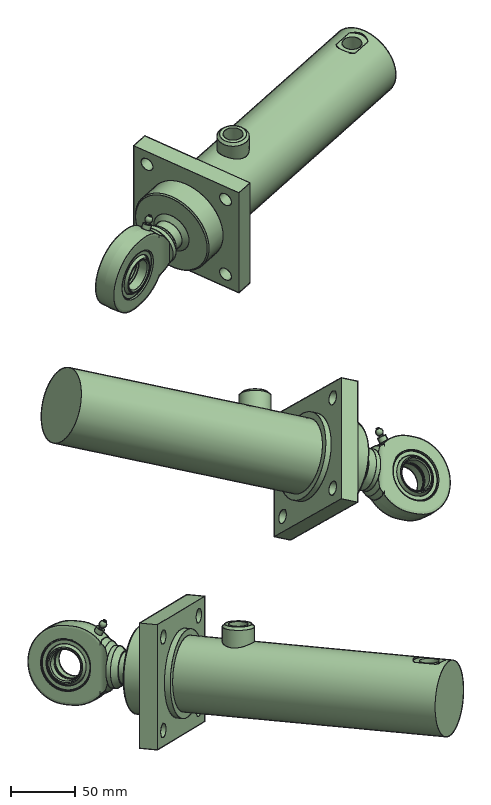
import cadquery as cq
import math


total_length = 349.0
eye_radius = 32.0
rear_end = total_length - eye_radius

barrel_diameter = 60.0
gland_diameter = 70.0
gland_front = 58.0
gland_rear = 97.7
gland_chamfer = 1.0
flange_side = 100.0
flange_front = 78.0
flange_thickness = 15.0
bolt_hole_diameter = 11.0
bolt_hole_spacing = 74.7
wiper_diameter = 33.5
wiper_length = 3.5

port_diameter = 15.5
port_depth = 14.0
drill_point_angle = 118.0
boss_diameter = 25.0
boss_top = 43.5
boss_chamfer = 2.0
boss_port_y = 140.5
spot_face_diameter = 25.0
spot_face_depth = 1.5
rear_port_inset = 16.8
rear_port_y = rear_end - rear_port_inset

rod_diameter = 25.0

eye_width = 18.0
eye_flat_length = 5.2
eye_draft = 3.0
eye_chamfer_across = 1.7
eye_chamfer_radial = 0.5

shank_end = 45.5
shank_end_diameter = 27.0
collar_diameter = 33.5
collar_rear = 40.5
collar_front = 36.5
neck_front = 28.5
neck_front_radius = 22.5
neck_cone_length = 3.0
flare_half_width = 13.3
flare_fillet = 7.7

race_diameter = 42.0
race_width = 16.0
race_inner_diameter = 33.5
race_chamfer = 1.0
ball_diameter = 35.5
ball_width = 20.2
eye_bore_diameter = 25.0
bore_chamfer = 1.0
bore_groove_width = 2.0
bore_groove_depth = 0.7

nipple_tilt = 30.0
nipple_y = 27.5
nipple_z = 33.0
nipple_root_depth = 12.2
nipple_base_diameter = 7.0
nipple_base_top = -4.0
nipple_neck_diameter = 3.0
nipple_head_diameter = 6.0
nipple_tip_diameter = 2.6
nipple_tip_top = 3.5


def cylinder_along_y(diameter, y_start, y_end):
    """Round bar on the cylinder axis between two Y positions."""
    return cq.Workplane("XZ", origin=(0, y_start, 0)).circle(diameter / 2).extrude(y_start - y_end)


def revolved_about_y(points):
    """Turned shape from a closed outline of (radius, Y) points."""
    return cq.Workplane("XY").polyline(points).close().revolve(360, (0, 0, 0), (0, 1, 0))


def port_hole(y, top_z):
    """Blind oil port drilled down from top_z, with a conical drill point."""
    radius = port_diameter / 2
    bottom = top_z - port_depth
    point_length = radius / math.tan(math.radians(drill_point_angle / 2))
    outline = [(0, top_z), (radius, top_z), (radius, bottom), (0, bottom - point_length)]
    return (
        cq.Workplane("XZ")
        .polyline(outline)
        .close()
        .revolve(360, (0, 0, 0), (0, 1, 0))
        .translate((0, y, 0))
    )


def make_housing():
    """Barrel with gland, square flange, wiper lip and two oil ports."""
    barrel = cylinder_along_y(barrel_diameter, gland_rear, rear_end)
    gland = cylinder_along_y(gland_diameter, gland_front, gland_rear).faces("<Y").chamfer(gland_chamfer)
    flange = (
        cq.Workplane("XZ", origin=(0, flange_front, 0))
        .rect(flange_side, flange_side)
        .rect(bolt_hole_spacing, bolt_hole_spacing, forConstruction=True)
        .vertices()
        .circle(bolt_hole_diameter / 2)
        .extrude(-flange_thickness)
    )
    wiper = revolved_about_y([
        (0, gland_front),
        (wiper_diameter / 2, gland_front),
        (rod_diameter / 2, gland_front - wiper_length),
        (0, gland_front - wiper_length),
    ])
    boss = (
        cq.Workplane("XY", origin=(0, boss_port_y, 0))
        .circle(boss_diameter / 2)
        .extrude(boss_top)
        .faces(">Z")
        .chamfer(boss_chamfer)
    )
    body = barrel.union(gland.union(flange)).union(wiper).union(boss)

    spot_face_z = barrel_diameter / 2 - spot_face_depth
    spot_face = (
        cq.Workplane("XY", origin=(0, rear_port_y, spot_face_z))
        .circle(spot_face_diameter / 2)
        .extrude(spot_face_depth)
    )
    body = body.cut(spot_face)
    body = body.cut(port_hole(rear_port_y, spot_face_z))
    body = body.cut(port_hole(boss_port_y, boss_top))
    rod_hole = cylinder_along_y(rod_diameter, gland_front - wiper_length, gland_rear)
    return body.cut(rod_hole)


def make_rod():
    """Plain rod from the end of the eye shank to the bottom of the gland hole."""
    return cylinder_along_y(rod_diameter, shank_end, gland_rear)


def make_eye_plate():
    """Eye plate: two half circles joined by short flats, drafted from its middle, with chamfered rims."""
    half = (
        cq.Workplane("YZ")
        .moveTo(0, eye_radius)
        .threePointArc((-eye_radius, 0), (0, -eye_radius))
        .lineTo(eye_flat_length, -eye_radius)
        .threePointArc((eye_flat_length + eye_radius, 0), (eye_flat_length, eye_radius))
        .close()
        .extrude(eye_width / 2, taper=eye_draft)
        .faces(">X")
        .chamfer(eye_chamfer_radial, eye_chamfer_across)
    )
    return half.union(half.mirror("YZ"))


def make_shank():
    """Chamfered collar and the neck that flares out from the eye plate to the collar."""
    collar = revolved_about_y([
        (0, shank_end),
        (shank_end_diameter / 2, shank_end),
        (collar_diameter / 2, collar_rear),
        (collar_diameter / 2, collar_front),
        (0, collar_front),
    ])
    neck = revolved_about_y([
        (0, collar_front),
        (collar_diameter / 2, collar_front),
        (collar_diameter / 2 + neck_cone_length, collar_front - neck_cone_length),
        (neck_front_radius, neck_front),
        (0, neck_front),
    ])
    flare_start = collar_front - (flare_half_width - eye_width / 2)
    flare = (
        cq.Workplane("XY")
        .polyline([
            (-eye_width / 2, 0),
            (eye_width / 2, 0),
            (eye_width / 2, flare_start),
            (flare_half_width, collar_front),
            (-flare_half_width, collar_front),
            (-eye_width / 2, flare_start),
        ])
        .close()
        .extrude(eye_radius, both=True)
    )
    start_corners = [(side * eye_width / 2, flare_start, 0) for side in (-1, 1)]
    for corner in start_corners:
        flare = flare.edges(cq.selectors.NearestToPointSelector(corner)).fillet(flare_fillet)
    return collar.union(neck.intersect(flare))


def make_nipple():
    """Ball-headed grease nipple leaning back over the shank, its root sunk in the eye plate."""
    base_radius = nipple_base_diameter / 2
    base_length = nipple_root_depth + nipple_base_top
    base = cq.Workplane("XY", origin=(0, 0, -nipple_root_depth)).circle(base_radius).extrude(base_length)
    neck = cq.Workplane("XY", origin=(0, 0, nipple_base_top)).circle(nipple_neck_diameter / 2)
    neck = neck.extrude(-nipple_base_top)
    head = cq.Workplane("XY").sphere(nipple_head_diameter / 2)
    tip = cq.Workplane("XY").circle(nipple_tip_diameter / 2).extrude(nipple_tip_top)
    nipple = base.union(neck).union(head).union(tip)
    return nipple.rotate((0, 0, 0), (1, 0, 0), -nipple_tilt).translate((0, nipple_y, nipple_z))


def make_bearing():
    """Race and ball of the spherical bearing as one ring, with a grease groove in the pin bore."""
    race_radius = race_diameter / 2
    race_inner_radius = race_inner_diameter / 2
    ball_radius = ball_diameter / 2
    bore_radius = eye_bore_diameter / 2
    half_race = race_width / 2
    half_ball = ball_width / 2
    half_groove = bore_groove_width / 2
    groove_radius = bore_radius + bore_groove_depth
    ball_face_radius = math.sqrt(ball_radius**2 - half_ball**2)
    ball_exit = math.sqrt(ball_radius**2 - race_inner_radius**2)
    arc_middle = (half_ball + ball_exit) / 2
    arc_middle_radius = math.sqrt(ball_radius**2 - arc_middle**2)
    half_section = (
        cq.Workplane("XY")
        .moveTo(0, groove_radius)
        .lineTo(half_groove, groove_radius)
        .lineTo(half_groove, bore_radius)
        .lineTo(half_ball - bore_chamfer, bore_radius)
        .lineTo(half_ball, bore_radius + bore_chamfer)
        .lineTo(half_ball, ball_face_radius)
        .threePointArc((arc_middle, arc_middle_radius), (ball_exit, race_inner_radius))
        .lineTo(half_race, race_inner_radius)
        .lineTo(half_race, race_radius - race_chamfer)
        .lineTo(half_race - race_chamfer, race_radius)
        .lineTo(0, race_radius)
        .close()
    )
    half_ring = half_section.revolve(360, (0, 0, 0), (1, 0, 0))
    return half_ring.union(half_ring.mirror("YZ"))


def make_rod_eye():
    """Rod eye with its shank, spherical bearing and grease nipple."""
    eye = make_eye_plate().union(make_shank()).union(make_nipple())
    seat = cq.Workplane("YZ").circle(race_diameter / 2).extrude(eye_width / 2, both=True)
    return eye.cut(seat).union(make_bearing())


housing = make_housing()
rod = make_rod()
rod_eye = make_rod_eye()

result = cq.Compound.makeCompound([housing.solids().val(), rod.val(), rod_eye.solids().val()])